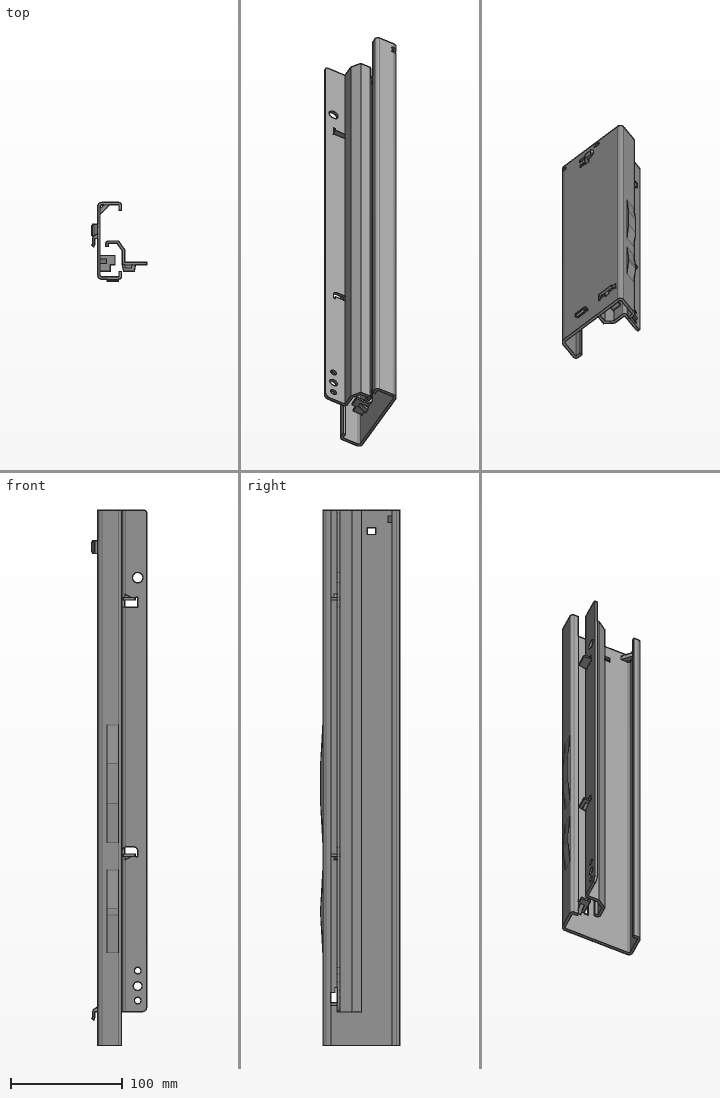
import cadquery as cq
import math

sheet = 2.5
length = 480.0

channel_width = 69.0
channel_depth = 21.5
channel_lip = 7.0
web_bend_radius = 4.0
lip_bend_radius = 3.0
channel_back = -channel_width / 2

pad_height = 2.0
pad_start_x = 8.5
pad_end_x = channel_depth - lip_bend_radius
pad_profiles = [
    (182.0, 217.0, 253.0, 287.5),
    (83.5, 117.0, 123.0, 157.5),
]

hook_width = 11.5
hook_length = 12.0
hook_reach = 4.5
hook_plate = 2.0
hook_neck = 4.5
hook_ramp = 2.5
hook_bend_radius = 3.0
toe_width = 9.0
toe_length = 3.0
toe_tip_rise = 2.0
toe_reach = 5.5
upper_hook_y, upper_hook_z = 6.0, 447.0
lower_hook_y, lower_hook_z = 9.0, 34.5

recess_depth = 1.0
recess_y, recess_width, recess_height = 9.0, 6.5, 5.0
slot_y, slot_z, slot_width, slot_height = 9.0, 461.5, 7.0, 6.0

round_hole_diameter = 6.0
round_hole_y, round_hole_z = -6.5, 472.0

corner_dart_z = 472.0
corner_dart_size = 9.5
corner_dent_radius = 6.0
corner_dart_width = 6.0

window_left_y, window_right_y = -8.5, -23.5
window_bottom_z, window_top_z = 36.0, 52.0
notch_right_y, notch_top_z = -28.5, 47.5
shelf_near_y, shelf_step_y, shelf_far_y = -13.0, -21.5, -27.5
shelf_long, shelf_short = 16.0, 11.5
shelf_dart_y = -18.0
shelf_dart_run = 8.0
shelf_dart_drop = 5.0
dart_width = 4.0

rail_bottom_z = 30.0
rail_web_x = 24.5
rail_top_y = 0.0
rail_hook_x = 7.0
rail_hook_end_y = -5.5
rail_slope_x = 18.5
rail_slope_y = -8.0
flange_front_y = -21.5
flange_edge_x = 44.0
rail_bend_radius = 3.0
lower_corner_radius = 4.5
upper_corner_radius = 2.5

flange_hole_x = 36.0
flange_holes = [
    (419.5, 9.0),
    (67.0, 6.0),
    (53.5, 7.5),
    (40.5, 6.0),
]

tab_window_x = 36.0
tab_root_x = 34.0
tab_tip_x = 33.0
tab_tip_y = -27.5
tab_height = 2.5
tab_window_height = 8.5
tab_dart_size = 3.0
upper_tab_top_z = 402.0
lower_tab_bottom_z = 169.5
lower_window_radius = 4.0


def box(x_range, y_range, z_range):
    """Box between two limits along each axis."""
    low = [min(pair) for pair in (x_range, y_range, z_range)]
    size = [abs(pair[1] - pair[0]) for pair in (x_range, y_range, z_range)]
    return cq.Workplane("XY").box(*size, centered=False).translate(tuple(low))


def edge_near(body, x, y):
    """The vertical edge of a prism that passes closest to (x, y)."""
    return body.edges("|Z").edges(cq.selectors.NearestToPointSelector((x, y, length / 2)))


def channel_profile():
    """C-section with inward lips and rounded bends."""
    def c_section(inset, corner_radius, mouth_radius):
        half = channel_width / 2 - inset
        body = box((inset, channel_depth - inset), (-half, half), (0, length))
        body = body.edges("|Z and <X").fillet(corner_radius)
        return body.edges("|Z and >X").fillet(mouth_radius)

    outer = c_section(0, web_bend_radius, lip_bend_radius)
    inner = c_section(sheet, web_bend_radius - sheet, lip_bend_radius - sheet)
    half_mouth = channel_width / 2 - channel_lip
    mouth = box((channel_depth / 2, channel_depth), (-half_mouth, half_mouth), (0, length))
    return outer.cut(inner).cut(mouth)


def pad(bottom, flat_start, flat_end, top):
    """Raised pad with long ramps at both ends."""
    inside_y = channel_back + sheet / 2
    points = [
        (inside_y, bottom),
        (channel_back, bottom),
        (channel_back - pad_height, flat_start),
        (channel_back - pad_height, flat_end),
        (channel_back, top),
        (inside_y, top),
    ]
    blank = cq.Workplane("YZ").polyline(points).close().extrude(pad_end_x - pad_start_x)
    return blank.translate((pad_start_x, 0, 0))


def hook():
    """Hook on the web, its neck at the origin and its toe pointing down."""
    under = hook_plate - hook_reach
    plate_end = toe_length - hook_length
    plate_points = [
        (sheet / 2, 0),
        (0, 0),
        (-hook_reach, -hook_ramp),
        (-hook_reach, plate_end),
        (under, plate_end),
        (under, -hook_neck),
        (sheet / 2, -hook_neck),
    ]
    toe_points = [
        (under, plate_end),
        (-hook_reach, plate_end),
        (-toe_reach, toe_tip_rise - hook_length),
        (under - toe_reach + hook_reach, -hook_length),
    ]
    plate = cq.Workplane("XZ").polyline(plate_points).close().extrude(hook_width / 2, both=True)
    outer_bend = cq.selectors.NearestToPointSelector((-hook_reach, 0, -hook_ramp))
    plate = plate.edges("|Y").edges(outer_bend).fillet(hook_bend_radius)
    toe = cq.Workplane("XZ").polyline(toe_points).close().extrude(toe_width / 2, both=True)
    return plate.union(toe)


def web_cutter(y, z, width, height, depth):
    """Rectangular cutter into the outer face of the web."""
    return box((0, depth), (y - width / 2, y + width / 2), (z - height / 2, z + height / 2))


def corner_dart():
    """Solid dart across the inside of the +Y web bend."""
    corner_y = channel_width / 2
    size = sheet + corner_dart_size
    points = [(sheet / 2, corner_y - sheet / 2), (size, corner_y - sheet / 2), (sheet / 2, corner_y - size)]
    blank = cq.Workplane("XY").polyline(points).close().extrude(corner_dart_width)
    return blank.translate((0, 0, corner_dart_z - corner_dart_width / 2))


def corner_dent():
    """Dent left on the outside of the +Y web bend by the dart."""
    corner = cq.Workplane("XY").circle(corner_dent_radius).extrude(corner_dart_width)
    return corner.translate((0, channel_width / 2, corner_dart_z - corner_dart_width / 2))


def window():
    """Opening in the web above the shelf, wider in its lower part."""
    upper = box((0, sheet), (window_left_y, window_right_y), (window_bottom_z, window_top_z))
    lower = box((0, sheet), (window_left_y, notch_right_y), (window_bottom_z, notch_top_z))
    return upper.union(lower)


def shelf():
    """Tab bent inward at the bottom edge of the window."""
    points = [
        (0, window_left_y),
        (sheet, shelf_near_y),
        (shelf_long, shelf_near_y),
        (shelf_long, shelf_step_y),
        (shelf_short, shelf_step_y),
        (shelf_short, shelf_far_y),
        (sheet, shelf_far_y),
        (0, notch_right_y),
    ]
    plate = cq.Workplane("XY").polyline(points).close().extrude(sheet)
    return plate.translate((0, 0, window_bottom_z))


def shelf_dart(corner_x, corner_z):
    """Triangular prism below and inward of a corner of the shelf bend."""
    points = [
        (corner_x, corner_z),
        (corner_x + shelf_dart_run, corner_z),
        (corner_x, corner_z - shelf_dart_drop),
    ]
    blank = cq.Workplane("XZ").polyline(points).close().extrude(dart_width / 2, both=True)
    return blank.translate((0, shelf_dart_y, 0))


def make_channel():
    body = channel_profile()
    for profile in pad_profiles:
        body = body.union(pad(*profile))

    body = body.cut(window()).union(shelf())
    body = body.union(shelf_dart(sheet, window_bottom_z))
    body = body.cut(shelf_dart(0, window_bottom_z + sheet))

    body = body.cut(web_cutter(slot_y, slot_z, slot_width, slot_height, sheet))
    body = body.cut(web_cutter(recess_y, upper_hook_z, recess_width, recess_height, recess_depth))
    hole = cq.Workplane("YZ").center(round_hole_y, round_hole_z).circle(round_hole_diameter / 2)
    body = body.cut(hole.extrude(sheet))
    body = body.union(corner_dart()).cut(corner_dent())

    body = body.union(hook().translate((0, lower_hook_y, lower_hook_z)))
    turned_hook = hook().rotate((0, 0, 0), (1, 0, 0), -90)
    return body.union(turned_hook.translate((0, upper_hook_y, upper_hook_z)))


def rail_profile():
    """Hooked section with a sloping shoulder and a flange towards +X."""
    slope = math.atan2(rail_top_y - rail_slope_y, rail_web_x - rail_slope_x)
    shoulder_shift = sheet * math.tan(slope / 2)
    web_shift = sheet * math.tan((math.pi / 2 - slope) / 2)
    web_inner_x = rail_web_x - sheet
    hook_inner_x = rail_hook_x + sheet
    flange_back_y = flange_front_y + sheet
    points = [
        (rail_hook_x, rail_hook_end_y),
        (rail_hook_x, rail_top_y),
        (rail_slope_x, rail_top_y),
        (rail_web_x, rail_slope_y),
        (rail_web_x, flange_back_y),
        (flange_edge_x, flange_back_y),
        (flange_edge_x, flange_front_y),
        (web_inner_x, flange_front_y),
        (web_inner_x, rail_slope_y - web_shift),
        (rail_slope_x - shoulder_shift, rail_top_y - sheet),
        (hook_inner_x, rail_top_y - sheet),
        (hook_inner_x, rail_hook_end_y),
    ]
    body = cq.Workplane("XY").polyline(points).close().extrude(length - rail_bottom_z)
    body = body.translate((0, 0, rail_bottom_z))
    body = edge_near(body, rail_hook_x, rail_top_y).fillet(rail_bend_radius)
    return edge_near(body, web_inner_x, flange_front_y).fillet(rail_bend_radius)


def tab(dart_z, side):
    """Tab bent towards -Y, with a dart on its upper (side 1) or lower (side -1) face at dart_z."""
    web_inner_x = rail_web_x - sheet
    flange_back_y = flange_front_y + sheet
    points = [
        (web_inner_x, flange_back_y),
        (tab_root_x, flange_back_y),
        (tab_root_x, flange_front_y),
        (tab_tip_x, tab_tip_y),
        (rail_web_x - sheet / 2, tab_tip_y),
        (web_inner_x, flange_front_y),
    ]
    plate = cq.Workplane("XY").workplane(offset=dart_z).polyline(points).close()
    dart_points = [
        (rail_web_x, dart_z),
        (rail_web_x + 2 * tab_dart_size, dart_z),
        (rail_web_x, dart_z + side * tab_dart_size),
    ]
    dart = cq.Workplane("XZ").polyline(dart_points).close().extrude(tab_dart_size + sheet / 2)
    dart = dart.translate((0, flange_front_y + sheet / 2, 0))
    return plate.extrude(-side * tab_height).union(dart)


def tab_window(dart_z, side):
    """Opening in the flange that the tab was bent out of."""
    x_range = (rail_web_x - sheet, tab_window_x)
    y_range = (flange_front_y, flange_front_y + sheet)
    return box(x_range, y_range, (dart_z, dart_z - side * tab_window_height))


def make_rail():
    body = rail_profile()
    flange_y = flange_front_y + sheet / 2
    corners = [(rail_bottom_z, lower_corner_radius), (length, upper_corner_radius)]
    for z, radius in corners:
        corner = cq.selectors.NearestToPointSelector((flange_edge_x, flange_y, z))
        body = body.edges("|Y").edges(corner).fillet(radius)

    for z, diameter in flange_holes:
        hole = cq.Workplane("XZ").center(flange_hole_x, z).circle(diameter / 2)
        body = body.cut(hole.extrude(-2 * flange_front_y))

    upper_window = tab_window(upper_tab_top_z, 1)
    lower_window = tab_window(lower_tab_bottom_z, -1).edges("|Y and >Z").fillet(lower_window_radius)
    body = body.cut(upper_window).union(tab(upper_tab_top_z, 1))
    return body.cut(lower_window).union(tab(lower_tab_bottom_z, -1))


channel = make_channel()
rail = make_rail()
result = cq.Compound.makeCompound([channel.val(), rail.val()])